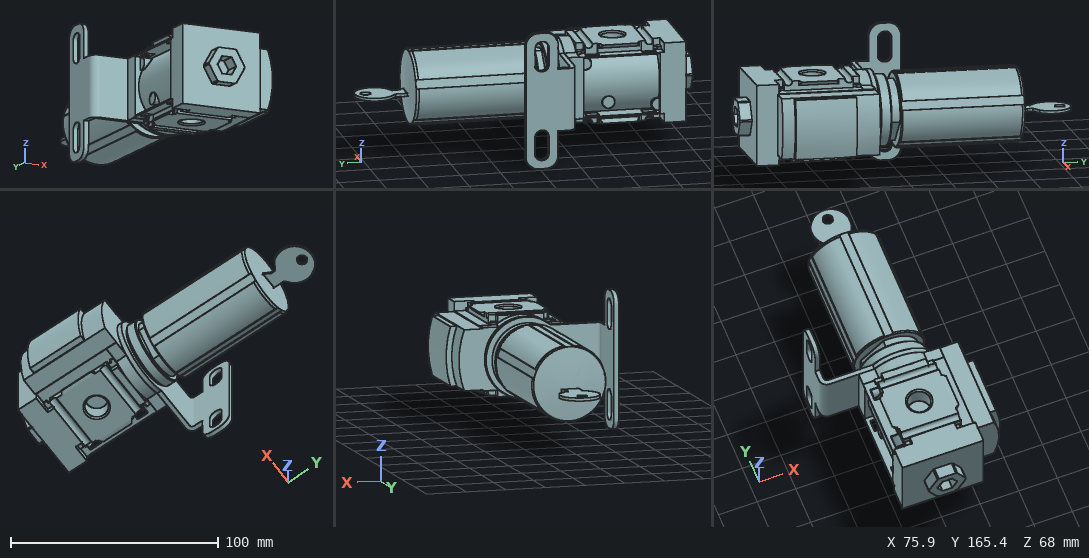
import cadquery as cq
import math


HOUSING_WIDTH = 42.0
HOUSING_HEIGHT = 40.0
HOUSING_LENGTH = 58.5
FRONT_BLOCK_LENGTH = 10.9
REAR_COLLAR_LENGTH = 6.0
REAR_LEDGE_Z = 15.5
SIDE_LEDGE_Z = 15.4
HALF_HEIGHT = HOUSING_HEIGHT / 2
HALF_WIDTH = HOUSING_WIDTH / 2
FRONT_BLOCK_BACK_Y = FRONT_BLOCK_LENGTH - HOUSING_LENGTH

PORT_Y = -26.8
PAD_WIDTH = 30.5
PORT_DIAMETER = 11.4
PORT_DEPTH = 10.0
PORT_CHAMFER = 0.8
GROOVE_OFFSET = 15.0
GROOVE_WIDTH = 4.0
GROOVE_DEPTH = 2.2
CORNER_NOTCH_WIDTH = 3.6
CORNER_NOTCH_FLOOR_Z = 16.5
CORNER_STEP_WIDTH = 1.2
CORNER_STEP_LENGTH = 1.7
DOVETAIL_WIDTH = 2.0
DOVETAIL_LENGTH = 19.7
DOVETAIL_BEVEL = 1.3
DOVETAIL_DROP = 0.3

WINDOW_REAR_Y = -8.0
WINDOW_FRONT_Y = -45.8
WINDOW_HALF_HEIGHT = 14.7
CYLINDER_DIAMETER = 38.0
BOSS_DIAMETER = 6.1
BOSS_END_X = -18.2
BOSS_CENTERS = [(-9.3, 11.0), (-20.8, -8.8), (-45.3, -11.2)]
SLOT_OUTER_X = -18.9
SLOT_INNER_X = -14.5
SLOT_SPANS = [(-16.0, -10.0), (-44.2, -37.7)]

GAUGE_BASE_HALF_HEIGHT = 15.0
GAUGE_BASE_EDGE_X = 30.5
GAUGE_BASE_CROWN_X = 33.0
GAUGE_DIAL_HALF_HEIGHT = 14.7
GAUGE_DIAL_EDGE_X = 33.7
GAUGE_DIAL_CROWN_X = 35.9
GAUGE_DIAL_LENGTH = 30.1
GAUGE_DIAL_Y = -27.1
GAUGE_BASE_LENGTH = 48.3

PLUG_ACROSS_FLATS = 17.0
PLUG_LENGTH = 6.0
SOCKET_ACROSS_FLATS = 8.8
SOCKET_DEPTH = 8.3
PLUG_EDGE_CHAMFER = 0.5
PLUG_END_Y = -HOUSING_LENGTH - PLUG_LENGTH

BRACKET_THICKNESS = 2.5
BRACKET_LEFT_X = -40.0
BRACKET_BEND_RADIUS = 4.0
BRACKET_TONGUE_WIDTH = 31.1
BRACKET_RING_RADIUS = 20.2
BRACKET_BORE_DIAMETER = 32.0
PLATE_BOTTOM_Y = 9.1
PLATE_TOP_Y = 25.0
PLATE_HEIGHT = 68.0
PLATE_CORNER_RADIUS = 6.0
PLATE_SLOT_WIDTH = 7.0
PLATE_SLOT_INNER_Z = 14.7
PLATE_SLOT_OUTER_Z = 29.8

NECK_DIAMETER = 31.6
NUT_DIAMETER = 35.0
NUT_TOP_Y = 9.0
NUT_LOWER_CHAMFER = 1.3
NUT_UPPER_CHAMFER = 0.5
STEM_DIAMETER = 30.1
STEM_FLAT_OFFSET = 12.5
STEM_FLAT_ANGLE = 45.0
KNOB_DIAMETER = 37.4
KNOB_BOTTOM_Y = 13.4
KNOB_BOTTOM_CHAMFER = 0.7
KNOB_SHOULDER_Y = 73.1
KNOB_RIM_Y = 74.5
KNOB_RIM_RADIUS = 18.2
KNOB_TOP_Y = 75.8
KNOB_GROOVE_COUNT = 5
KNOB_GROOVE_WIDTH = 4.5
KNOB_GROOVE_DEPTH = 0.5

KEY_THICKNESS = 1.5
KEY_Z = -3.0
KEY_HEAD_RADIUS = 10.0
KEY_TOP_Y = 100.9
KEY_HOLE_DIAMETER = 5.0
KEY_HOLE_Y = 95.5
KEY_NECK_LEFT_X = -4.3
KEY_NECK_RIGHT_X = 2.8
KEY_NECK_TOP_Y = 81.5
KEY_SHOULDER_TOP_Y = 78.9
KEY_SHOULDER_X = 4.6
KEY_BLADE_END_Y = KNOB_RIM_Y


def box(x_range, y_range, z_range):
    """Box between two limits along each axis."""
    size = [end - start for start, end in (x_range, y_range, z_range)]
    return cq.Workplane("XY").box(*size, centered=False).translate((x_range[0], y_range[0], z_range[0]))


def cylinder_y(diameter, y_start, y_end):
    """Cylinder about the knob axis."""
    return cq.Workplane("XZ", origin=(0, y_start, 0)).circle(diameter / 2).extrude(y_start - y_end)


def hexagon_y(across_flats, y_start, y_end):
    """Hexagonal prism along Y with corners pointing along X."""
    across_corners = across_flats / math.cos(math.radians(30))
    return cq.Workplane("XZ", origin=(0, y_start, 0)).polygon(6, across_corners).extrude(y_start - y_end)


def both_sides(feature):
    """The feature together with its mirror image below z = 0."""
    return feature.union(feature.mirror("XY"))


def housing_core():
    """Front block, ledged middle and the rear collar that carries the bracket."""
    x_range = (-HALF_WIDTH, HALF_WIDTH)
    front = box(x_range, (-HOUSING_LENGTH, FRONT_BLOCK_BACK_Y), (-HALF_HEIGHT, HALF_HEIGHT))
    middle = box(x_range, (FRONT_BLOCK_BACK_Y, -REAR_COLLAR_LENGTH), (-SIDE_LEDGE_Z, SIDE_LEDGE_Z))
    rear = box(x_range, (-REAR_COLLAR_LENGTH, 0), (-REAR_LEDGE_Z, REAR_LEDGE_Z))
    collar = cylinder_y(HOUSING_HEIGHT, -REAR_COLLAR_LENGTH, 0)
    return front.union(middle).union(rear).union(collar)


def port_pad():
    """Raised pad on the upper side, with notched corners and dovetail edges."""
    half = PAD_WIDTH / 2
    pad = box((-half, half), (FRONT_BLOCK_BACK_Y, -REAR_COLLAR_LENGTH), (0, HALF_HEIGHT))
    step_inner_x = half - CORNER_STEP_WIDTH
    notch_inner_x = half - CORNER_NOTCH_WIDTH
    groove_edge = GROOVE_OFFSET + GROOVE_WIDTH / 2
    rear_y = PORT_Y + groove_edge
    front_y = PORT_Y - groove_edge
    notch_spans = [(rear_y, -REAR_COLLAR_LENGTH), (FRONT_BLOCK_BACK_Y, front_y)]
    step_spans = [(rear_y, rear_y + CORNER_STEP_LENGTH), (front_y - CORNER_STEP_LENGTH, front_y)]
    for notch_y, step_y in zip(notch_spans, step_spans):
        notch = box((notch_inner_x, half), notch_y, (CORNER_NOTCH_FLOOR_Z, HALF_HEIGHT))
        step = box((step_inner_x, half), step_y, (SIDE_LEDGE_Z, HALF_HEIGHT))
        corner = notch.union(step)
        pad = pad.cut(corner).cut(corner.mirror("YZ"))
    return pad.union(dovetail()).union(dovetail().mirror("YZ"))


def dovetail():
    """Undercut strip along the -X edge of the upper pad, with bevelled ends."""
    inner_x = -PAD_WIDTH / 2
    outer_x = inner_x - DOVETAIL_WIDTH
    top_z = HALF_HEIGHT - DOVETAIL_DROP
    half_length = DOVETAIL_LENGTH / 2
    wedge = (
        cq.Workplane("XZ", origin=(0, PORT_Y + half_length, 0))
        .polyline([(inner_x, HALF_HEIGHT), (outer_x, top_z), (inner_x, top_z - DOVETAIL_WIDTH)])
        .close()
        .extrude(DOVETAIL_LENGTH)
    )
    plan = (
        cq.Workplane("XY")
        .polyline([
            (inner_x, PORT_Y - half_length),
            (outer_x, PORT_Y - half_length + DOVETAIL_BEVEL),
            (outer_x, PORT_Y + half_length - DOVETAIL_BEVEL),
            (inner_x, PORT_Y + half_length),
        ])
        .close()
        .extrude(HALF_HEIGHT)
    )
    return wedge.intersect(plan)


def pad_groove(y):
    """Round-bottomed groove across the upper pad."""
    radius = GROOVE_WIDTH / 2
    center_z = HALF_HEIGHT - GROOVE_DEPTH + radius
    half = PAD_WIDTH / 2
    bottom = cq.Workplane("YZ", origin=(-half, 0, 0)).center(y, center_z).circle(radius).extrude(PAD_WIDTH)
    sides = box((-half, half), (y - radius, y + radius), (center_z, HALF_HEIGHT))
    return bottom.union(sides)


def port():
    """Blind port bore with a chamfered mouth, sunk into the upper pad."""
    bore_radius = PORT_DIAMETER / 2
    profile = [
        (0, HALF_HEIGHT - PORT_DEPTH),
        (bore_radius, HALF_HEIGHT - PORT_DEPTH),
        (bore_radius, HALF_HEIGHT - PORT_CHAMFER),
        (bore_radius + PORT_CHAMFER, HALF_HEIGHT),
        (0, HALF_HEIGHT),
    ]
    return (
        cq.Workplane("XZ").polyline(profile).close()
        .revolve(360, (0, 0, 0), (0, 1, 0)).translate((0, PORT_Y, 0))
    )


def side_window():
    """Space between the -X face, the slotted ledges and the inner cylinder with its round bosses."""
    y_range = (WINDOW_FRONT_Y, WINDOW_REAR_Y)
    space = box((-HALF_WIDTH, 0), y_range, (-WINDOW_HALF_HEIGHT, WINDOW_HALF_HEIGHT))
    for slot_y in SLOT_SPANS:
        space = space.union(box((SLOT_OUTER_X, SLOT_INNER_X), slot_y, (-HALF_HEIGHT, HALF_HEIGHT)))
    bosses = (
        cq.Workplane("YZ", origin=(BOSS_END_X, 0, 0))
        .pushPoints(BOSS_CENTERS).circle(BOSS_DIAMETER / 2).extrude(-BOSS_END_X)
    )
    return space.cut(cylinder_y(CYLINDER_DIAMETER, *y_range)).cut(bosses)


def crowned_block(half_height, edge_x, crown_x, y_range):
    """Block on the +X side whose outer face is arched in Z."""
    return (
        cq.Workplane("XZ", origin=(0, y_range[1], 0))
        .moveTo(HALF_WIDTH, -half_height)
        .lineTo(edge_x, -half_height)
        .threePointArc((crown_x, 0), (edge_x, half_height))
        .lineTo(HALF_WIDTH, half_height)
        .close()
        .extrude(y_range[1] - y_range[0])
    )


def gauge():
    """Gauge base with its raised square dial."""
    base_y = (-GAUGE_BASE_LENGTH, 0)
    dial_y = (GAUGE_DIAL_Y - GAUGE_DIAL_LENGTH / 2, GAUGE_DIAL_Y + GAUGE_DIAL_LENGTH / 2)
    base = crowned_block(GAUGE_BASE_HALF_HEIGHT, GAUGE_BASE_EDGE_X, GAUGE_BASE_CROWN_X, base_y)
    dial = crowned_block(GAUGE_DIAL_HALF_HEIGHT, GAUGE_DIAL_EDGE_X, GAUGE_DIAL_CROWN_X, dial_y)
    return base.union(dial)


def plug():
    """Hexagonal plug on the front face, with bevelled corners."""
    body = hexagon_y(PLUG_ACROSS_FLATS, PLUG_END_Y, -HOUSING_LENGTH)
    return body.edges("|Y").chamfer(PLUG_EDGE_CHAMFER)


def socket():
    """Hexagonal socket that passes through the plug into the front block."""
    return hexagon_y(SOCKET_ACROSS_FLATS, PLUG_END_Y, PLUG_END_Y + SOCKET_DEPTH)


def neck():
    """Neck through the bracket, chamfered nut collar and the flatted stem under the knob."""
    collar = cylinder_y(NUT_DIAMETER, BRACKET_THICKNESS, NUT_TOP_Y)
    collar = collar.faces("<Y").chamfer(NUT_LOWER_CHAMFER).faces(">Y").chamfer(NUT_UPPER_CHAMFER)
    stem = cylinder_y(STEM_DIAMETER, NUT_TOP_Y, KNOB_BOTTOM_Y)
    flats = box(
        (-STEM_FLAT_OFFSET, STEM_FLAT_OFFSET), (NUT_TOP_Y, KNOB_BOTTOM_Y), (-STEM_DIAMETER, STEM_DIAMETER)
    ).rotate((0, 0, 0), (0, 1, 0), STEM_FLAT_ANGLE)
    return cylinder_y(NECK_DIAMETER, 0, BRACKET_THICKNESS).union(collar).union(stem.intersect(flats))


def key_seat():
    """Shallow slot in the end of the knob that holds the key."""
    half = KEY_THICKNESS / 2
    return box((KEY_NECK_LEFT_X, KEY_SHOULDER_X), (KEY_BLADE_END_Y, KNOB_TOP_Y), (KEY_Z - half, KEY_Z + half))


def knob():
    """Long round knob with a domed end and evenly spaced lengthwise grooves."""
    radius = KNOB_DIAMETER / 2
    sagitta = KNOB_TOP_Y - KNOB_RIM_Y
    dome_radius = (KNOB_RIM_RADIUS ** 2 + sagitta ** 2) / (2 * sagitta)
    dome_middle_x = KNOB_RIM_RADIUS / 2
    dome_middle_y = KNOB_TOP_Y - dome_radius + math.sqrt(dome_radius ** 2 - dome_middle_x ** 2)
    body = (
        cq.Workplane("XY")
        .moveTo(0, KNOB_BOTTOM_Y)
        .lineTo(radius - KNOB_BOTTOM_CHAMFER, KNOB_BOTTOM_Y)
        .lineTo(radius, KNOB_BOTTOM_Y + KNOB_BOTTOM_CHAMFER)
        .lineTo(radius, KNOB_SHOULDER_Y)
        .lineTo(KNOB_RIM_RADIUS, KNOB_RIM_Y)
        .threePointArc((dome_middle_x, dome_middle_y), (0, KNOB_TOP_Y))
        .close()
        .revolve(360, (0, 0, 0), (0, 1, 0))
        .cut(key_seat())
    )
    half = KNOB_GROOVE_WIDTH / 2
    groove = box((-half, half), (KNOB_BOTTOM_Y, KNOB_TOP_Y), (radius - KNOB_GROOVE_DEPTH, radius))
    for index in range(KNOB_GROOVE_COUNT):
        body = body.cut(groove.rotate((0, 0, 0), (0, 1, 0), index * 360 / KNOB_GROOVE_COUNT))
    return body


def make_regulator():
    """Housing, gauge, plug, neck and knob as one solid."""
    body = housing_core().union(both_sides(port_pad()))
    for offset in (-GROOVE_OFFSET, GROOVE_OFFSET):
        body = body.cut(both_sides(pad_groove(PORT_Y + offset)))
    body = body.cut(both_sides(port())).cut(side_window())
    return body.union(gauge()).union(plug()).cut(socket()).union(neck()).union(knob())


def make_bracket():
    """Bent wall bracket: slotted upright plate, bend, and a tongue that ends in a ring."""
    half_tongue = BRACKET_TONGUE_WIDTH / 2
    inner_x = BRACKET_LEFT_X + BRACKET_THICKNESS
    angle = (
        cq.Workplane("XY", origin=(0, 0, -half_tongue))
        .polyline([
            (BRACKET_LEFT_X, 0),
            (0, 0),
            (0, BRACKET_THICKNESS),
            (inner_x, BRACKET_THICKNESS),
            (inner_x, PLATE_TOP_Y),
            (BRACKET_LEFT_X, PLATE_TOP_Y),
        ])
        .close()
        .extrude(BRACKET_TONGUE_WIDTH)
    )
    angle = angle.edges("|Z").edges("<X and <Y").fillet(BRACKET_BEND_RADIUS)
    inner_edge = cq.selectors.NearestToPointSelector((inner_x, BRACKET_THICKNESS, 0))
    angle = angle.edges("|Z").edges(inner_edge).fillet(BRACKET_BEND_RADIUS - BRACKET_THICKNESS)

    plate = box(
        (BRACKET_LEFT_X, inner_x), (PLATE_BOTTOM_Y, PLATE_TOP_Y), (-PLATE_HEIGHT / 2, PLATE_HEIGHT / 2)
    ).edges("|X").fillet(PLATE_CORNER_RADIUS)
    slot_z = (PLATE_SLOT_INNER_Z + PLATE_SLOT_OUTER_Z) / 2
    slots = (
        cq.Workplane("YZ", origin=(BRACKET_LEFT_X, 0, 0))
        .pushPoints([((PLATE_BOTTOM_Y + PLATE_TOP_Y) / 2, sign * slot_z) for sign in (-1, 1)])
        .slot2D(PLATE_SLOT_OUTER_Z - PLATE_SLOT_INNER_Z, PLATE_SLOT_WIDTH, 90)
        .extrude(BRACKET_THICKNESS)
    )

    ring = cylinder_y(2 * BRACKET_RING_RADIUS, 0, BRACKET_THICKNESS).intersect(
        box(
            (-BRACKET_RING_RADIUS, BRACKET_RING_RADIUS), (0, BRACKET_THICKNESS), (-HALF_HEIGHT, HALF_HEIGHT)
        )
    )
    bore = cylinder_y(BRACKET_BORE_DIAMETER, 0, BRACKET_THICKNESS)
    return angle.union(plate).union(ring).cut(slots).cut(bore)


def make_key():
    """Flat key seated in the domed end of the knob: round head, narrow neck, one-sided shoulder."""
    head_y = KEY_TOP_Y - KEY_HEAD_RADIUS
    flare = KEY_HEAD_RADIUS * math.sqrt(0.5)
    sheet = cq.Workplane("XY", origin=(0, 0, KEY_Z - KEY_THICKNESS / 2))
    outline = (
        sheet.moveTo(KEY_NECK_LEFT_X, KEY_BLADE_END_Y)
        .lineTo(KEY_NECK_LEFT_X, KEY_NECK_TOP_Y)
        .lineTo(-flare, head_y - flare)
        .threePointArc((0, KEY_TOP_Y), (flare, head_y - flare))
        .lineTo(KEY_NECK_RIGHT_X, KEY_NECK_TOP_Y)
        .lineTo(KEY_NECK_RIGHT_X, KEY_SHOULDER_TOP_Y)
        .lineTo(KEY_SHOULDER_X, KNOB_TOP_Y)
        .lineTo(KEY_SHOULDER_X, KEY_BLADE_END_Y)
        .close()
        .extrude(KEY_THICKNESS)
    )
    return outline.cut(sheet.center(0, KEY_HOLE_Y).circle(KEY_HOLE_DIAMETER / 2).extrude(KEY_THICKNESS))


regulator = make_regulator()
bracket = make_bracket()
key = make_key()
result = cq.Compound.makeCompound([regulator.solids().val(), bracket.solids().val(), key.solids().val()])